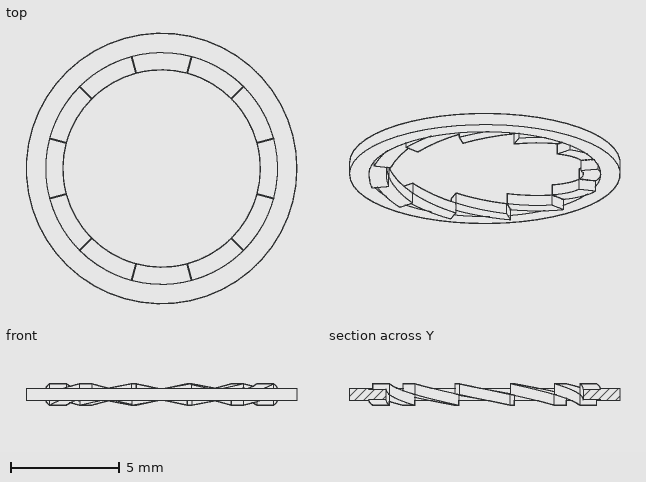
import cadquery as cq

outer_diameter = 12.5
ring_inner_diameter = 10.7
ring_height = 0.56

blade_inner_diameter = 9.1
blade_count = 12
blade_thickness = 0.5
overall_height = 1.0
blade_spacing = 360 / blade_count
gap_angle = 0.2
blade_angle = blade_spacing - gap_angle
blade_rise = overall_height - blade_thickness
trim_allowance = 0.1


def make_ring():
    """Flat ring centred on the origin."""
    return (
        cq.Workplane("XY", origin=(0, 0, -ring_height / 2))
        .circle(outer_diameter / 2)
        .circle(ring_inner_diameter / 2)
        .extrude(ring_height)
    )


def make_blade():
    """Blade starting on the +X axis, climbing counterclockwise about Z."""
    inner_radius = blade_inner_diameter / 2
    sweep_outer_radius = ring_inner_diameter / 2 + trim_allowance
    mid_radius = (inner_radius + sweep_outer_radius) / 2
    helix = cq.Wire.makeHelix(
        pitch=blade_rise * 360 / blade_angle,
        height=blade_rise,
        radius=mid_radius,
        center=cq.Vector(0, 0, -blade_rise / 2),
    )
    ramp = (
        cq.Workplane("XZ")
        .center(mid_radius, -blade_rise / 2)
        .rect(sweep_outer_radius - inner_radius, blade_thickness)
        .sweep(cq.Workplane(obj=helix), isFrenet=True)
    )
    bore = (
        cq.Workplane("XY", origin=(0, 0, -overall_height))
        .circle(ring_inner_diameter / 2)
        .extrude(2 * overall_height)
    )
    return ramp.intersect(bore)


def make_part():
    """Ring with all blades joined to its inner wall."""
    part = make_ring()
    blade = make_blade()
    for index in range(blade_count):
        start_angle = index * blade_spacing - blade_angle / 2
        part = part.union(blade.rotate((0, 0, 0), (0, 0, 1), start_angle))
    return part


result = cq.Workplane(obj=make_part().solids().val())